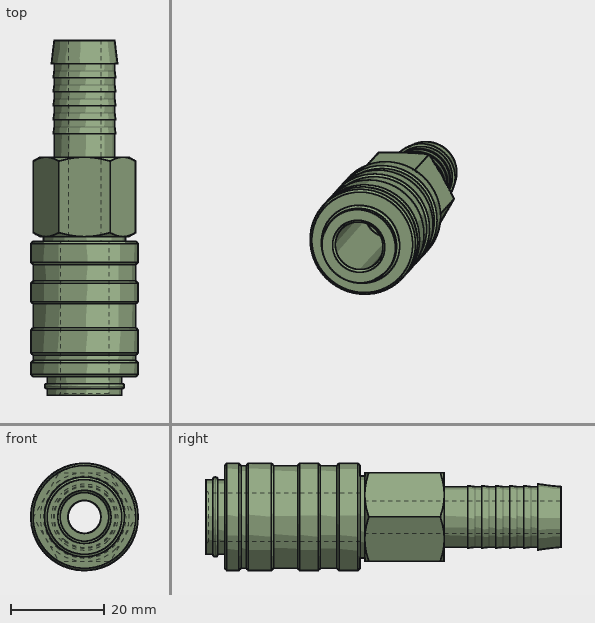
import cadquery as cq
import math


TOTAL_LENGTH = 76.0
SLEEVE_START = 4.0
SLEEVE_END = 33.0
HEX_START = 34.0
HEX_END = 51.0

NOSE_RADIUS = 8.0
RING_SECTION_RADIUS = 0.55
RING_CENTER = 2.0

SLEEVE_RADIUS = 11.5
SLEEVE_CHAMFER = 0.5
SLEEVE_GROOVES = [(7.5, 8.6), (14.5, 19.6), (24.5, 28.0)]

NECK_RADIUS = 8.8

HEX_ACROSS_FLATS = 19.0
HEX_SIDES = 6
HEX_ACROSS_CORNERS = HEX_ACROSS_FLATS / math.cos(math.pi / HEX_SIDES)
HEX_CHAMFER_ANGLE = 30.0

TAIL_RADIUS = 6.5
BARB_RADIUS = 6.7
BARB_LENGTH = 1.5
BARB_PITCH = 3.0
BARB_COUNT = 5
TIP_BARB_RADIUS = 7.1
TIP_BARB_LENGTH = 5.0
TIP_BARB_START = TOTAL_LENGTH - TIP_BARB_LENGTH

THROUGH_BORE_RADIUS = 3.5
SOCKET_RADIUS = 5.2
SOCKET_DEPTH = SLEEVE_END
MOUTH_CHAMFER = 0.5


def revolve_about_y(profile):
    """Turn a closed (radius, axial) profile about the Y axis."""
    return profile.close().revolve(360, (0, 0, 0), (0, 1, 0))


def cone(start_radius, end_radius, start, end):
    """Truncated cone about the Y axis."""
    profile = (
        cq.Workplane("XY")
        .moveTo(0, start)
        .lineTo(start_radius, start)
        .lineTo(end_radius, end)
        .lineTo(0, end)
    )
    return revolve_about_y(profile)


def cylinder(radius, start, end):
    """Cylinder about the Y axis."""
    return cone(radius, radius, start, end)


def make_nose():
    """Cylindrical nose carrying a rounded ring."""
    ring_start = RING_CENTER - RING_SECTION_RADIUS
    ring_end = RING_CENTER + RING_SECTION_RADIUS
    crest = (NOSE_RADIUS + RING_SECTION_RADIUS, RING_CENTER)
    profile = (
        cq.Workplane("XY")
        .lineTo(NOSE_RADIUS, 0)
        .lineTo(NOSE_RADIUS, ring_start)
        .radiusArc(crest, -RING_SECTION_RADIUS)
        .radiusArc((NOSE_RADIUS, ring_end), -RING_SECTION_RADIUS)
        .lineTo(NOSE_RADIUS, SLEEVE_START)
        .lineTo(0, SLEEVE_START)
    )
    return revolve_about_y(profile)


def make_sleeve():
    """Sleeve whose bands all have chamfered edges, separated by shallow grooves."""
    floor_radius = SLEEVE_RADIUS - SLEEVE_CHAMFER
    profile = cq.Workplane("XY").moveTo(0, SLEEVE_START).lineTo(floor_radius, SLEEVE_START)
    band_start = SLEEVE_START
    for groove_start, groove_end in SLEEVE_GROOVES + [(SLEEVE_END, SLEEVE_END)]:
        profile = (
            profile.lineTo(SLEEVE_RADIUS, band_start + SLEEVE_CHAMFER)
            .lineTo(SLEEVE_RADIUS, groove_start - SLEEVE_CHAMFER)
            .lineTo(floor_radius, groove_start)
        )
        if groove_end > groove_start:
            profile = profile.lineTo(floor_radius, groove_end)
        band_start = groove_end
    return revolve_about_y(profile.lineTo(0, SLEEVE_END))


def make_hexagon():
    """Hexagon with two flats facing +Z and -Z, its corners turned off at both ends."""
    hexagon = (
        cq.Workplane("XZ", origin=(0, HEX_START, 0))
        .polygon(HEX_SIDES, HEX_ACROSS_CORNERS)
        .extrude(HEX_START - HEX_END)
    )
    face_radius = HEX_ACROSS_FLATS / 2
    corner_radius = HEX_ACROSS_CORNERS / 2
    depth = (corner_radius - face_radius) * math.tan(math.radians(HEX_CHAMFER_ANGLE))
    envelope = (
        cq.Workplane("XY")
        .moveTo(0, HEX_START)
        .lineTo(face_radius, HEX_START)
        .lineTo(corner_radius, HEX_START + depth)
        .lineTo(corner_radius, HEX_END - depth)
        .lineTo(face_radius, HEX_END)
        .lineTo(0, HEX_END)
    )
    return hexagon.intersect(revolve_about_y(envelope))


def make_tail():
    """Hose tail with a row of small barbs and a larger barb at its tip."""
    tail = cylinder(TAIL_RADIUS, HEX_END, TOTAL_LENGTH)
    for number in range(1, BARB_COUNT + 1):
        start = TIP_BARB_START - number * BARB_PITCH
        tail = tail.union(cone(BARB_RADIUS, TAIL_RADIUS, start, start + BARB_LENGTH))
    return tail.union(cone(TIP_BARB_RADIUS, TAIL_RADIUS, TIP_BARB_START, TOTAL_LENGTH))


def make_bores():
    """Chamfered socket bore followed by the smaller through bore."""
    mouth = cone(SOCKET_RADIUS + MOUTH_CHAMFER, SOCKET_RADIUS, 0, MOUTH_CHAMFER)
    socket = cylinder(SOCKET_RADIUS, 0, SOCKET_DEPTH)
    through_bore = cylinder(THROUGH_BORE_RADIUS, 0, TOTAL_LENGTH)
    return through_bore.union(socket).union(mouth)


neck = cylinder(NECK_RADIUS, SLEEVE_END, HEX_START)
body = make_nose().union(make_sleeve()).union(neck).union(make_hexagon()).union(make_tail())
result = body.cut(make_bores())